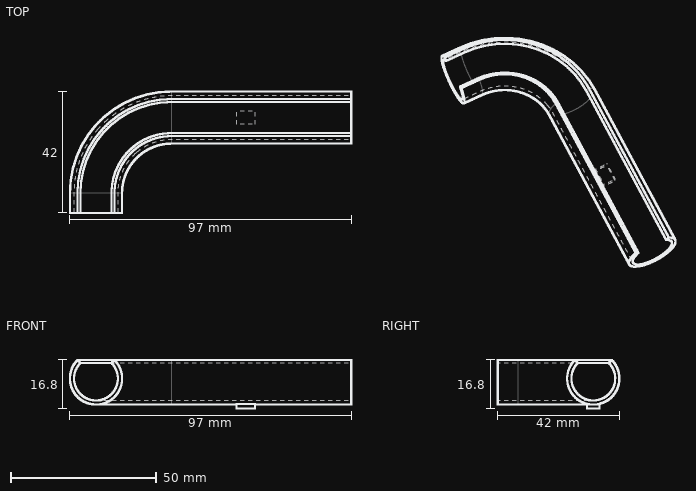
import cadquery as cq
import math

length_x = 97.0
outer_radius = 9.0
wall = 1.5
inner_radius = outer_radius - wall
opening_angle = 90.0

bend_radius = 26.0
short_leg = 7.0
bend_center_x = outer_radius + bend_radius
long_leg = length_x - bend_center_x
long_leg_y = short_leg + bend_radius

pad_length = 6.4
pad_width = 4.4
pad_drop = 1.4
pad_center_x = 60.6


def rim_point(radius, angle):
    """Point of the section at an angle measured from the horizontal."""
    return radius * math.cos(math.radians(angle)), radius * math.sin(math.radians(angle))


def channel_section(plane):
    """C-shaped section, centered on the tube axis."""
    right_edge = 90 - opening_angle / 2
    left_edge = 90 + opening_angle / 2
    return (
        cq.Workplane(plane)
        .moveTo(*rim_point(outer_radius, left_edge))
        .threePointArc((0, -outer_radius), rim_point(outer_radius, right_edge))
        .lineTo(*rim_point(inner_radius, right_edge))
        .threePointArc((0, -inner_radius), rim_point(inner_radius, left_edge))
        .close()
    )


def short_leg_channel():
    plane = cq.Plane(origin=(outer_radius, 0, 0), xDir=(1, 0, 0), normal=(0, -1, 0))
    return channel_section(plane).extrude(-short_leg)


def bend_channel():
    plane = cq.Plane(origin=(outer_radius, short_leg, 0), xDir=(1, 0, 0), normal=(0, -1, 0))
    return channel_section(plane).revolve(90, (bend_radius, 0), (bend_radius, -1))


def long_leg_channel():
    plane = cq.Plane(origin=(bend_center_x, long_leg_y, 0), xDir=(0, 1, 0), normal=(1, 0, 0))
    return channel_section(plane).extrude(long_leg)


def pad():
    """Block reaching from mid-wall to just below the tube."""
    embed = wall / 2
    return (
        cq.Workplane("XY", origin=(pad_center_x, long_leg_y, -outer_radius - pad_drop))
        .rect(pad_length, pad_width)
        .extrude(pad_drop + embed)
    )


result = short_leg_channel().union(bend_channel()).union(long_leg_channel()).union(pad())